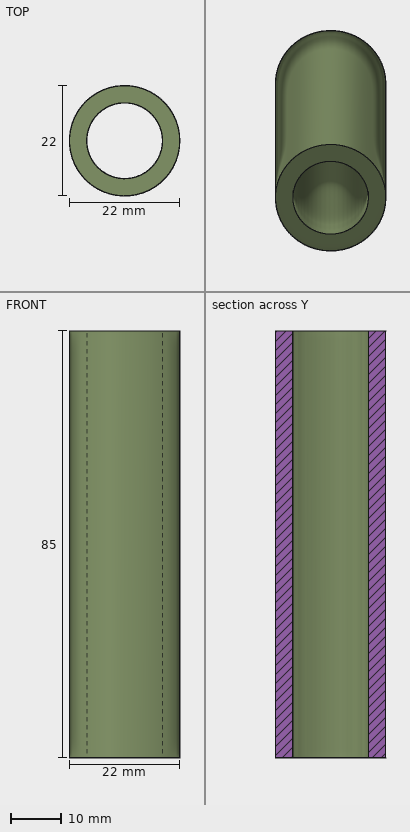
import cadquery as cq

length = 85.0
outer_diameter = 22.0
bore_diameter = 15.05

result = (
    cq.Workplane("XY")
    .circle(outer_diameter / 2)
    .circle(bore_diameter / 2)
    .extrude(length)
)